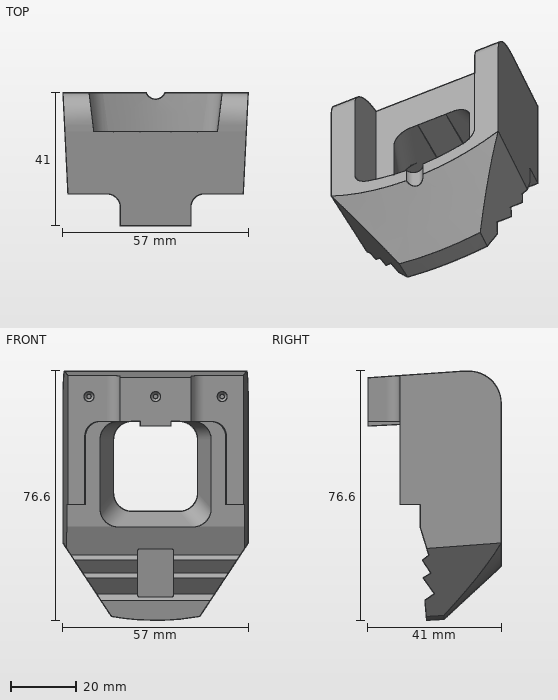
import cadquery as cq
import math


HEIGHT = 76.6
BACK_WIDTH = 57.0
SHOULDER_WIDTH = 53.95
SHOULDER_DEPTH = 31.2
BOSS_DEPTH = 41.0
TOP_SLOPE = 4.0
TOP_BACK_RADIUS = 10.0

BOSS_WIDTH = 21.8
BOSS_FILLET = 4.0

STEP_DEPTH = 25.0
STEP_Z = 35.6
SLOPE_TOP_Z = 28.7

TEETH = [
    (22.3, 20.1), (24.3, 18.55),
    (21.7, 14.55), (24.1, 13.1),
    (20.6, 8.2), (23.5, 6.2),
]
TOE_DEPTH = 23.0

SIDE_CORNER_Z = 23.8
SIDE_TAPER = 33.4

UNDERSIDE_BACK_RADIUS = 60.0
UNDERSIDE_KNEE_RADIUS = 76.3
UNDERSIDE_KNEE_DEPTH = 17.6
UNDERSIDE_TOE_RADIUS = HEIGHT

RECESS_DEPTH = 12.0
RECESS_BACK_WIDTH = 40.9
RECESS_FRONT_WIDTH = 38.0
RECESS_FLOOR_RADIUS = 54.7
RECESS_FLOOR_DRAFT = 3.0
RECESS_CORNER_RADIUS = 6.1

CEILING_Z = 61.15
THROAT_WIDTH = 25.75
THROAT_FLOOR_Z = 33.6
WINDOW_FRONT_WIDTH = 34.2
WINDOW_RADIUS = 5.6

POCKET_WIDTH = 43.1
POCKET_SIDE_DRAFT = 2.3
POCKET_RADIUS = 4.6

TAB_WIDTH = 9.6
TAB_DROP = 1.45

NOTCH_RADIUS = 3.1
NOTCH_DEPTH = 2.0

HOLE_SPACING = 20.45
HOLE_Z = 68.8
HOLE_RADIUS = 1.5
HOLE_TIP_RADIUS = 0.7
HOLE_DEPTH = 1.5

LABEL_WIDTH = 11.1
LABEL_BOTTOM_Z = 7.2
LABEL_TOP_Z = 22.0
LABEL_CORNER_RADIUS = 0.7
LABEL_FLOOR_DEPTH = 20.4
LABEL_TILT = 5.0

MARGIN = 3.8


def side_prism(points, width):
    """Prism centred on X = 0 from a closed outline of (depth, height) points."""
    outline = [(-depth, z) for depth, z in points]
    return cq.Workplane("YZ").polyline(outline).close().extrude(width / 2, both=True)


def front_plane(depth):
    """Workplane parallel to the front, with X and Z as its axes, at a given depth."""
    return cq.Workplane("XZ").workplane(offset=depth)


def plan_body():
    """T-shaped plan with drafted sides and filleted boss, at full height."""
    half_boss = BOSS_WIDTH / 2
    outline = [
        (BACK_WIDTH / 2, 0),
        (SHOULDER_WIDTH / 2, -SHOULDER_DEPTH),
        (half_boss, -SHOULDER_DEPTH),
        (half_boss, -BOSS_DEPTH),
    ]
    mirrored = [(-x, y) for x, y in reversed(outline)]
    body = cq.Workplane("XY").polyline(outline + mirrored).close().extrude(HEIGHT)
    inner_corners = cq.selectors.BoxSelector(
        (-half_boss - MARGIN, -SHOULDER_DEPTH - MARGIN, 0),
        (half_boss + MARGIN, -SHOULDER_DEPTH + MARGIN, HEIGHT),
    )
    return body.edges("|Z").edges(inner_corners).fillet(BOSS_FILLET)


def side_profile():
    """Side outline: rounded sloping top, shoulder, step, slope and teeth."""
    slope = math.radians(TOP_SLOPE)
    boss_top_z = HEIGHT - (BOSS_DEPTH - RECESS_DEPTH) * math.tan(slope)
    arc_middle = TOP_BACK_RADIUS * (1 - math.sqrt(0.5))
    profile = (
        cq.Workplane("YZ")
        .moveTo(0, 0)
        .lineTo(0, HEIGHT - TOP_BACK_RADIUS)
        .threePointArc((-arc_middle, HEIGHT - arc_middle), (-TOP_BACK_RADIUS, HEIGHT))
        .lineTo(-RECESS_DEPTH, HEIGHT)
        .lineTo(-BOSS_DEPTH, boss_top_z)
        .lineTo(-BOSS_DEPTH, CEILING_Z)
        .lineTo(-SHOULDER_DEPTH, CEILING_Z)
        .lineTo(-SHOULDER_DEPTH, STEP_Z)
        .lineTo(-STEP_DEPTH, STEP_Z)
        .lineTo(-STEP_DEPTH, SLOPE_TOP_Z)
    )
    for depth, z in TEETH:
        profile = profile.lineTo(-depth, z)
    return profile.lineTo(-TOE_DEPTH, 0).close().extrude(BACK_WIDTH, both=True)


def front_outline():
    """Front outline: straight sides that taper towards the toe."""
    half_width = BACK_WIDTH / 2
    half_toe = half_width - SIDE_CORNER_Z * math.tan(math.radians(SIDE_TAPER))
    outline = [(half_toe, 0), (half_width, SIDE_CORNER_Z), (half_width, HEIGHT)]
    mirrored = [(-x, z) for x, z in reversed(outline)]
    return front_plane(0).polyline(outline + mirrored).close().extrude(BOSS_DEPTH)


def revolved(profile):
    """Solid of revolution about the top axis from (radius, depth) points."""
    outline = [(radius, -depth) for radius, depth in profile]
    return (
        cq.Workplane("XY")
        .polyline(outline)
        .close()
        .revolve(360, (0, 0), (0, 1))
        .translate((0, 0, HEIGHT))
    )


def underside():
    """Turned envelope that shapes the sloping back and the rounded toe."""
    toe_slope = (UNDERSIDE_TOE_RADIUS - UNDERSIDE_KNEE_RADIUS) / (TOE_DEPTH - UNDERSIDE_KNEE_DEPTH)
    front_radius = UNDERSIDE_TOE_RADIUS + (BOSS_DEPTH - TOE_DEPTH) * toe_slope
    return revolved([
        (0, 0),
        (UNDERSIDE_BACK_RADIUS, 0),
        (UNDERSIDE_KNEE_RADIUS, UNDERSIDE_KNEE_DEPTH),
        (front_radius, BOSS_DEPTH),
        (0, BOSS_DEPTH),
    ])


def back_recess():
    """Open-topped recess with a slightly conical floor, coaxial with the underside."""
    front_radius = RECESS_FLOOR_RADIUS - RECESS_DEPTH * math.tan(math.radians(RECESS_FLOOR_DRAFT))
    floor = revolved([
        (0, 0),
        (RECESS_FLOOR_RADIUS, 0),
        (front_radius, RECESS_DEPTH),
        (0, RECESS_DEPTH),
    ])
    half_back = RECESS_BACK_WIDTH / 2
    half_front = RECESS_FRONT_WIDTH / 2
    walls = (
        cq.Workplane("XY")
        .polyline([
            (half_back, 0),
            (half_front, -RECESS_DEPTH),
            (-half_front, -RECESS_DEPTH),
            (-half_back, 0),
        ])
        .close()
        .extrude(HEIGHT + MARGIN)
    )
    recess = walls.intersect(floor)
    lower_corners = cq.selectors.BoxSelector(
        (-half_back, -RECESS_DEPTH + MARGIN, 0),
        (half_back, -MARGIN, HEIGHT / 2),
    )
    return recess.edges(lower_corners).fillet(RECESS_CORNER_RADIUS)


def window():
    """Window that flares from the throat towards the front."""
    throat_height = CEILING_Z - THROAT_FLOOR_Z
    mouth_height = CEILING_Z - SLOPE_TOP_Z
    throat = cq.Sketch().rect(THROAT_WIDTH, throat_height).vertices().fillet(WINDOW_RADIUS)
    mouth = cq.Sketch().rect(WINDOW_FRONT_WIDTH, mouth_height).vertices().fillet(WINDOW_RADIUS)
    throat_centre = cq.Location((0, CEILING_Z - throat_height / 2, 0))
    mouth_centre = cq.Location((0, CEILING_Z - mouth_height / 2, STEP_DEPTH - RECESS_DEPTH))
    return (
        front_plane(RECESS_DEPTH)
        .placeSketch(throat.moved(throat_centre), mouth.moved(mouth_centre))
        .loft(ruled=True)
    )


def front_pocket():
    """Wider pocket in front of the window, with drafted sides."""
    half_back = POCKET_WIDTH / 2
    length = BOSS_DEPTH - STEP_DEPTH
    half_front = half_back + length * math.tan(math.radians(POCKET_SIDE_DRAFT))
    return (
        cq.Workplane("XY", origin=(0, 0, STEP_Z))
        .polyline([
            (half_back, -STEP_DEPTH),
            (half_front, -BOSS_DEPTH),
            (-half_front, -BOSS_DEPTH),
            (-half_back, -STEP_DEPTH),
        ])
        .close()
        .extrude(CEILING_Z - STEP_Z)
        .faces(">Z")
        .edges("not |X")
        .fillet(POCKET_RADIUS)
    )


def ceiling_tab():
    """Wedge that thickens from the throat to the front of the boss."""
    embedded_z = CEILING_Z + MARGIN
    return side_prism([
        (RECESS_DEPTH, CEILING_Z),
        (BOSS_DEPTH, CEILING_Z - TAB_DROP),
        (BOSS_DEPTH, embedded_z),
        (RECESS_DEPTH, embedded_z),
    ], TAB_WIDTH)


def rim_notch():
    """Upright round groove through the lower rim of the recess."""
    return (
        cq.Workplane("XY")
        .center(0, NOTCH_RADIUS - NOTCH_DEPTH)
        .circle(NOTCH_RADIUS)
        .extrude(HEIGHT / 2)
    )


def conical_hole(x, depth):
    """Short conical hole entering a front face at the given depth."""
    cone = cq.Solid.makeCone(
        HOLE_RADIUS, HOLE_TIP_RADIUS, HOLE_DEPTH,
        pnt=cq.Vector(x, -depth, HOLE_Z),
        dir=cq.Vector(0, 1, 0),
    )
    return cq.Workplane(cone)


def label_panel():
    """Rounded panel sunk across the teeth to a slightly tilted floor."""
    height = LABEL_TOP_Z - LABEL_BOTTOM_Z
    panel = (
        front_plane(0)
        .center(0, LABEL_BOTTOM_Z + height / 2)
        .rect(LABEL_WIDTH, height)
        .extrude(STEP_DEPTH)
        .edges("|Y")
        .fillet(LABEL_CORNER_RADIUS)
    )
    floor_top_depth = LABEL_FLOOR_DEPTH + height * math.tan(math.radians(LABEL_TILT))
    in_front_of_floor = side_prism([
        (LABEL_FLOOR_DEPTH, LABEL_BOTTOM_Z),
        (STEP_DEPTH, LABEL_BOTTOM_Z),
        (STEP_DEPTH, LABEL_TOP_Z),
        (floor_top_depth, LABEL_TOP_Z),
    ], LABEL_WIDTH)
    return panel.intersect(in_front_of_floor)


body = plan_body().intersect(side_profile()).intersect(front_outline()).intersect(underside())
body = body.cut(back_recess()).cut(window()).cut(front_pocket())
body = body.union(ceiling_tab()).cut(rim_notch()).cut(label_panel())
for hole_x, face_depth in [
    (-HOLE_SPACING, SHOULDER_DEPTH),
    (0, BOSS_DEPTH),
    (HOLE_SPACING, SHOULDER_DEPTH),
]:
    body = body.cut(conical_hole(hole_x, face_depth))

result = body